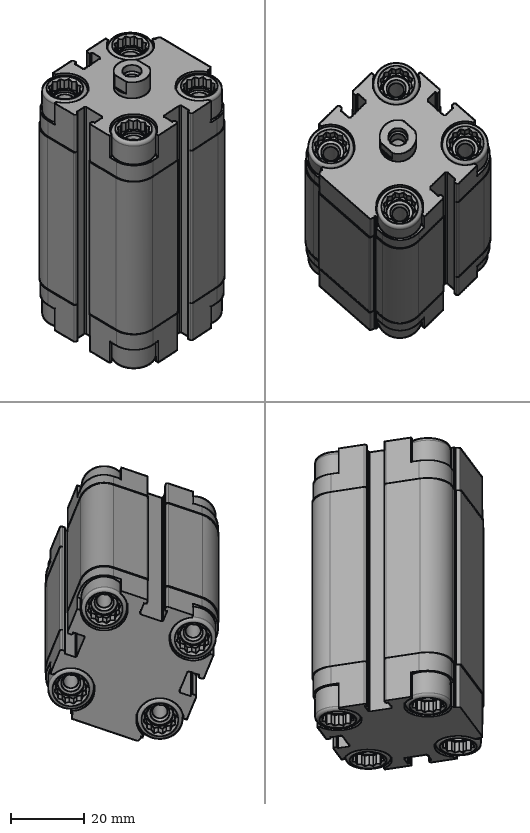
import cadquery as cq
import math

total_height = 85.0
housing_height = 79.4
cap_height = 13.0
barrel_height = housing_height - 2 * cap_height

barrel_width = 40.0
screw_offset = 13.0
cap_inset_x = 0.1
cap_inset_y = 0.25
barrel_half = barrel_width / 2
barrel_corner_radius = barrel_half - screw_offset

pad_rise = 1.45
pad_top_width = 19.3
pad_base_width = 20.4
pad_rounding = 0.3
relief_radius = 0.25

groove_mouth_width = 5.3
groove_inner_width = 6.8
groove_depth = 5.0
groove_lip = 1.6
lip_rounding = 0.5
lip_chamfer = 0.25
groove_corner_chamfer = 0.3

head_diameter = 12.5
head_rounding = 1.0
pocket_diameter = 13.0
pocket_depth = 7.5
pocket_overlap = 2.55
countersink_diameter = 10.0
countersink_depth = 0.6
socket_points = 12
socket_outer_diameter = 9.0
socket_inner_diameter = 8.1
socket_depth = 3.6
recess_diameter = 7.2
recess_depth = 0.8
lead_in_diameter = 5.3
lead_in_depth = 1.0
through_diameter = 4.2

rod_diameter = 10.0
flat_width = 9.0
flat_height = 4.2
rod_hole_diameter = 4.2
rod_hole_depth = 6.8
rod_counterbore_diameter = 5.3
rod_counterbore_depth = 2.2
drill_tip_angle = 118.0


def cone(center, top_z, top_diameter, bottom_diameter, height):
    """Solid cone frustum that narrows downwards from top_z."""
    return cq.Workplane(obj=cq.Solid.makeCone(
        top_diameter / 2, bottom_diameter / 2, height,
        cq.Vector(center[0], center[1], top_z), cq.Vector(0, 0, -1),
    ))


def cylinder(center, top_z, diameter, height):
    """Solid cylinder that hangs down from top_z."""
    return (
        cq.Workplane("XY", origin=(center[0], center[1], top_z - height))
        .circle(diameter / 2)
        .extrude(height)
    )


def groove_cutter(face_inset, angle, height):
    """T-groove with lips rounded at the face, cut from the -Y side and then turned about Z."""
    mouth = groove_mouth_width / 2
    inner = groove_inner_width / 2
    chamfer = groove_corner_chamfer
    arc_step = lip_rounding * (1 - math.sqrt(0.5))
    cutter = (
        cq.Workplane("XY")
        .moveTo(0, face_inset)
        .lineTo(mouth + lip_rounding, face_inset)
        .threePointArc((mouth + arc_step, face_inset + arc_step), (mouth, face_inset + lip_rounding))
        .lineTo(mouth, groove_lip - lip_chamfer)
        .lineTo(mouth + lip_chamfer, groove_lip)
        .lineTo(inner, groove_lip)
        .lineTo(inner, groove_depth - chamfer)
        .lineTo(inner - chamfer, groove_depth)
        .lineTo(0, groove_depth)
        .close()
        .extrude(height)
    )
    cutter = cutter.union(cutter.mirror("YZ"))
    return cutter.translate((0, -barrel_half, 0)).rotate((0, 0, 0), (0, 0, 1), angle)


def profile_section(inset_x, inset_y, height):
    """Length of the grooved profile, with its faces set in from those of the barrel."""
    half_x = barrel_half - inset_x
    half_y = barrel_half - inset_y
    section = (
        cq.Workplane("XY")
        .rect(2 * half_x, 2 * half_y)
        .extrude(height)
        .edges("|Z")
        .fillet(barrel_corner_radius)
    )
    pad = (
        cq.Workplane("XY")
        .polyline([
            (-pad_base_width / 2, 0),
            (pad_base_width / 2, 0),
            (pad_base_width / 2, half_y),
            (pad_top_width / 2, half_y + pad_rise),
            (-pad_top_width / 2, half_y + pad_rise),
            (-pad_base_width / 2, half_y),
        ])
        .close()
        .extrude(height)
        .faces(">Y")
        .edges("|Z")
        .fillet(pad_rounding)
    )
    pad_reliefs = (
        cq.Workplane("XY")
        .pushPoints([(-pad_base_width / 2, half_y), (pad_base_width / 2, half_y)])
        .circle(relief_radius)
        .extrude(height)
    )
    section = section.union(pad).cut(pad_reliefs)
    for face_inset, angle in ((inset_y, 0), (inset_x, 90), (inset_x, -90)):
        section = section.cut(groove_cutter(face_inset, angle, height))
    return section


def head_pocket(side_x, side_y):
    """Ring-shaped gap around one screw head, open to the outer corner of the cap."""
    center = (side_x * screw_offset, side_y * screw_offset)
    head = cylinder(center, housing_height, head_diameter, pocket_depth)
    head = head.faces(">Z").edges().fillet(head_rounding)
    round_pocket = cylinder(center, housing_height, pocket_diameter, pocket_depth)
    inner_edge = screw_offset - pocket_overlap
    size = barrel_half - inner_edge
    corner_block = cq.Workplane("XY").box(size, size, pocket_depth).translate((
        side_x * (inner_edge + size / 2),
        side_y * (inner_edge + size / 2),
        housing_height - pocket_depth / 2,
    ))
    return corner_block.union(round_pocket).cut(head)


def screw_socket(side_x, side_y):
    """Countersunk twelve-point socket with a stepped floor."""
    center = (side_x * screw_offset, side_y * screw_offset)
    star = []
    for i in range(2 * socket_points):
        radius = (socket_outer_diameter if i % 2 == 0 else socket_inner_diameter) / 2
        angle = math.pi * i / socket_points
        star.append((center[0] + radius * math.cos(angle), center[1] + radius * math.sin(angle)))
    floor_z = housing_height - socket_depth
    socket = cq.Workplane("XY", origin=(0, 0, floor_z)).polyline(star).close().extrude(socket_depth)
    countersink = cone(
        center, housing_height, countersink_diameter, socket_inner_diameter, countersink_depth)
    recess = cylinder(center, floor_z, recess_diameter, recess_depth)
    lead_in = cone(center, floor_z - recess_depth, lead_in_diameter, through_diameter, lead_in_depth)
    return socket.union(countersink).union(recess).union(lead_in)


def build_housing():
    """Barrel with a cap at each end, and the same screw details in both caps."""
    cap = profile_section(cap_inset_x, cap_inset_y, cap_height)
    barrel = profile_section(0, 0, barrel_height)
    housing = (
        barrel.translate((0, 0, cap_height))
        .union(cap)
        .union(cap.translate((0, 0, housing_height - cap_height)))
    )
    for side_x in (-1, 1):
        for side_y in (-1, 1):
            center = (side_x * screw_offset, side_y * screw_offset)
            housing = housing.cut(cylinder(center, housing_height, through_diameter, housing_height))
            for detail in (head_pocket(side_x, side_y), screw_socket(side_x, side_y)):
                lower_detail = detail.mirror("XY", (0, 0, housing_height / 2))
                housing = housing.cut(detail).cut(lower_detail)
    rod_bore = cylinder((0, 0), housing_height, rod_diameter, cap_height)
    return housing.cut(rod_bore)


def build_rod():
    """Piston rod with two wrench flats and a blind hole in its end."""
    rod_length = total_height - housing_height + cap_height
    rod = cylinder((0, 0), total_height, rod_diameter, rod_length)
    flat_zone = (
        cq.Workplane("XY", origin=(0, 0, total_height - flat_height))
        .rect(rod_diameter, rod_diameter)
        .rect(rod_diameter, flat_width)
        .extrude(flat_height)
    )
    step_depth = (rod_counterbore_diameter - rod_hole_diameter) / 2
    tip_depth = rod_hole_diameter / 2 / math.tan(math.radians(drill_tip_angle / 2))
    counterbore_floor_z = total_height - rod_counterbore_depth
    center = (0, 0)
    counterbore = cylinder(center, total_height, rod_counterbore_diameter, rod_counterbore_depth)
    step = cone(center, counterbore_floor_z, rod_counterbore_diameter, rod_hole_diameter, step_depth)
    hole = cylinder(center, total_height, rod_hole_diameter, rod_hole_depth)
    tip = cone(center, total_height - rod_hole_depth, rod_hole_diameter, 0, tip_depth)
    return rod.cut(flat_zone).cut(counterbore).cut(step).cut(hole).cut(tip)


housing = build_housing()
rod = build_rod()
result = cq.Compound.makeCompound([housing.val(), rod.val()])